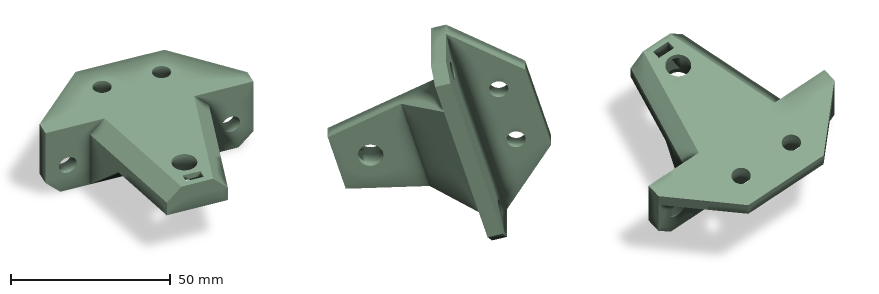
import cadquery as cq

length = 65.5
width = 70.0
height = 25.0

thickness = 5.0
plate_corner = 20.0
wall_front = plate_corner
wall_back = wall_front + thickness
wall_corner = 5.0

arm_depth = 10.0
arm_root_width = 40.05
arm_tip_width = 20.6
arm_bevel = 5.0
gusset_end = wall_back + height - arm_depth

screw_diameter = 6.0
plate_hole_x = 10.0
plate_hole_spacing = 20.0
wall_hole_spacing = 55.0
wall_hole_z = -15.0

rod_diameter = 8.1
rod_x = length - 11.0
nut_width = 6.0
slot_length = 3.0
slot_end_x = length - 2.0
passage_roof_z = -2.0
passage_floor_z = passage_roof_z - nut_width

overlap = 0.7


def box_between(x_start, x_end, y_width, z_bottom, z_top):
    """Box centred on the XZ plane and bounded by the given X and Z limits."""
    return cq.Workplane("XY").box(
        x_end - x_start, y_width, z_top - z_bottom, centered=(False, True, False)
    ).translate((x_start, 0, z_bottom))


def make_plate():
    """Horizontal plate with its two front corners cut off."""
    plate = box_between(0, wall_back, width, -thickness, 0)
    return plate.edges("|Z and <X").chamfer(plate_corner)


def make_wall():
    """Upright wall with its two lower corners cut off."""
    wall = box_between(wall_front, wall_back, width, -height, 0)
    return wall.edges("|X and <Z").chamfer(wall_corner)


def arm_section(x, base_width):
    """Bevelled cross-section of the arm, reaching down to the wall's lower edge."""
    half_base = base_width / 2
    half_top = half_base - arm_bevel
    return [
        cq.Vector(x, -half_base, -height),
        cq.Vector(x, half_base, -height),
        cq.Vector(x, half_base, -arm_bevel),
        cq.Vector(x, half_top, 0),
        cq.Vector(x, -half_top, 0),
        cq.Vector(x, -half_base, -arm_bevel),
    ]


def make_arm():
    """Tapered arm trimmed underneath to leave a sloping gusset at the wall."""
    root = cq.Wire.makePolygon(arm_section(wall_back, arm_root_width), close=True)
    tip = cq.Wire.makePolygon(arm_section(length, arm_tip_width), close=True)
    taper = cq.Workplane(cq.Solid.makeLoft([root, tip], True))
    side_profile = (
        cq.Workplane("XZ")
        .moveTo(wall_back, 0)
        .lineTo(length, 0)
        .lineTo(length, -arm_depth)
        .lineTo(gusset_end, -arm_depth)
        .lineTo(wall_back, -height)
        .close()
        .extrude(width / 2, both=True)
    )
    return taper.intersect(side_profile)


def plate_holes():
    """Vertical screw holes through the plate."""
    return (
        cq.Workplane("XY")
        .pushPoints([(plate_hole_x, side * plate_hole_spacing / 2) for side in (-1, 1)])
        .circle(screw_diameter / 2)
        .extrude(thickness + overlap, both=True)
    )


def wall_holes():
    """Horizontal screw holes through the wall."""
    return (
        cq.Workplane("YZ", origin=(wall_front - overlap, 0, 0))
        .pushPoints([(side * wall_hole_spacing / 2, wall_hole_z) for side in (-1, 1)])
        .circle(screw_diameter / 2)
        .extrude(thickness + 2 * overlap)
    )


def rod_socket():
    """Rod hole through the arm, plus the nut slot and its passage to the hole."""
    rod_hole = (
        cq.Workplane("XY")
        .center(rod_x, 0)
        .circle(rod_diameter / 2)
        .extrude(arm_depth + overlap, both=True)
    )
    slot = box_between(
        slot_end_x - slot_length, slot_end_x, nut_width, passage_floor_z, overlap
    )
    passage = box_between(rod_x, slot_end_x, nut_width, passage_floor_z, passage_roof_z)
    return rod_hole.union(slot).union(passage)


body = make_plate().union(make_wall()).union(make_arm())
result = body.cut(plate_holes()).cut(wall_holes()).cut(rod_socket())